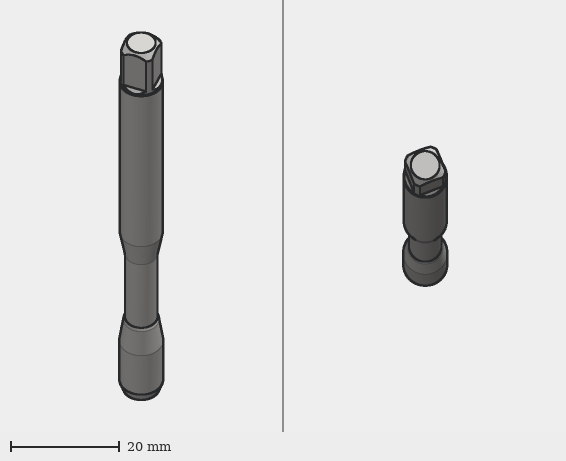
import cadquery as cq

TOTAL_LENGTH = 91.55
HEAD_BOTTOM = 1.65
LEAD_TOP = 3.75
HEAD_CYLINDER_TOP = 13.9
COLLAR_BOTTOM = 19.4
HEAD_TOP = 20.1
NECK_TOP = 36.6
SHANK_BOTTOM = 42.3
SHANK_TOP = 81.6
SQUARE_BOTTOM = 82.6

HEAD_DIAMETER = 8.15
HEAD_END_DIAMETER = 6.8
COLLAR_DIAMETER = 6.6
NECK_DIAMETER = 6.0
SHANK_DIAMETER = 8.0
SQUARE_CORNER_DIAMETER = 7.7
TOP_FACE_DIAMETER = 5.3

SQUARE_WIDTH = 6.2
FLAT_COUNT = 4

POINT_RADIUS = HEAD_BOTTOM
SHANK_CHAMFER = (SHANK_DIAMETER - SQUARE_CORNER_DIAMETER) / 2
TOP_CHAMFER = (SQUARE_CORNER_DIAMETER - TOP_FACE_DIAMETER) / 2


def revolve_profile(points):
    """Turn a closed (radius, height) outline around the Z axis."""
    return cq.Workplane("XZ").polyline(points).close().revolve(360, (0, 0, 0), (0, 1, 0))


def make_head():
    """Working head with a conical center point, a tapered lead and a tapered back."""
    return revolve_profile([
        (0, 0),
        (POINT_RADIUS, HEAD_BOTTOM),
        (HEAD_END_DIAMETER / 2, HEAD_BOTTOM),
        (HEAD_DIAMETER / 2, LEAD_TOP),
        (HEAD_DIAMETER / 2, HEAD_CYLINDER_TOP),
        (COLLAR_DIAMETER / 2, COLLAR_BOTTOM),
        (NECK_DIAMETER / 2, HEAD_TOP),
        (0, HEAD_TOP),
    ])


def make_flat_cutter():
    """Prism that cuts the +X drive flat and its 45 degree run-out to the shank."""
    inner = SQUARE_WIDTH / 2
    outer = SHANK_DIAMETER
    run_out = outer - inner
    return (
        cq.Workplane("XZ")
        .polyline([
            (inner, SQUARE_BOTTOM),
            (outer, SQUARE_BOTTOM - run_out),
            (outer, TOTAL_LENGTH),
            (inner, TOTAL_LENGTH),
        ])
        .close()
        .extrude(SHANK_DIAMETER / 2, both=True)
    )


def make_shank():
    """Round shank with a reduced neck below and a driving square on top."""
    shank = revolve_profile([
        (0, HEAD_TOP),
        (NECK_DIAMETER / 2, HEAD_TOP),
        (NECK_DIAMETER / 2, NECK_TOP),
        (SHANK_DIAMETER / 2, SHANK_BOTTOM),
        (SHANK_DIAMETER / 2, SHANK_TOP),
        (SQUARE_CORNER_DIAMETER / 2, SHANK_TOP + SHANK_CHAMFER),
        (SQUARE_CORNER_DIAMETER / 2, TOTAL_LENGTH - TOP_CHAMFER),
        (TOP_FACE_DIAMETER / 2, TOTAL_LENGTH),
        (0, TOTAL_LENGTH),
    ])
    cutter = make_flat_cutter()
    for index in range(FLAT_COUNT):
        angle = index * 360 / FLAT_COUNT
        shank = shank.cut(cutter.rotate((0, 0, 0), (0, 0, 1), angle))
    return shank


head = make_head()
shank = make_shank()

result = cq.Compound.makeCompound([head.val(), shank.val()])